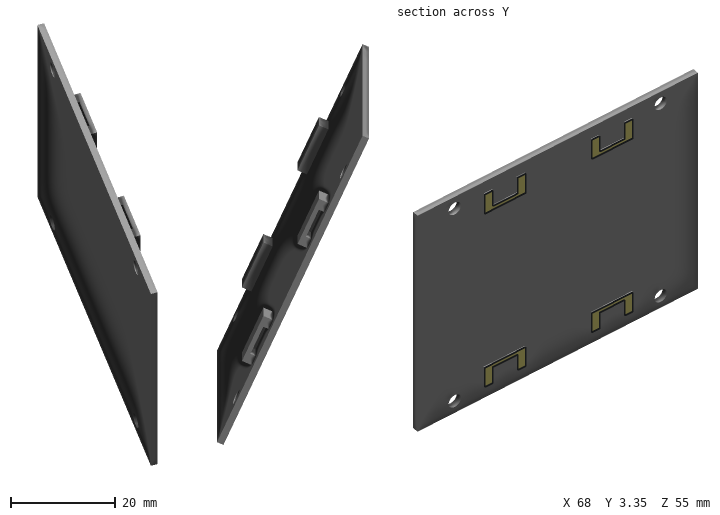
import cadquery as cq

plate_length = 68.0
plate_height = 55.0
plate_thickness = 1.35

hole_diameter = 3.0
hole_left_inset = 9.0
hole_spacing = 50.0
hole_edge_inset = 3.0

block_length = 10.0
block_depth = 2.0
block_height = 5.0
block_left_inset = 16.0
block_spacing = 26.0
block_edge_inset = 2.9

opening_length = 6.0
opening_depth = 1.1
opening_reach = 4.0


def box_at(x, y, z, length, depth, height):
    """Box whose lowest corner is at (x, y, z)."""
    return cq.Workplane("XY").box(length, depth, height, centered=False).translate((x, y, z))


def hole_cutter(x, z):
    """Cylinder along Y that passes through the plate."""
    axis = cq.Vector(0, 1, 0)
    start = cq.Vector(x, 0, z)
    return cq.Workplane(cq.Solid.makeCylinder(hole_diameter / 2, plate_thickness, start, axis))


def upper_socket(x):
    """Block near the top edge, with its opening facing up and resting on the plate."""
    block_top = plate_height - block_edge_inset
    block = box_at(x, plate_thickness, block_top - block_height, block_length, block_depth, block_height)
    opening_x = x + (block_length - opening_length) / 2
    opening_z = block_top - opening_reach
    opening = box_at(opening_x, plate_thickness, opening_z, opening_length, opening_depth, opening_reach)
    return block.cut(opening)


result = box_at(0, 0, 0, plate_length, plate_thickness, plate_height)

for hole_x in (hole_left_inset, hole_left_inset + hole_spacing):
    for hole_z in (hole_edge_inset, plate_height - hole_edge_inset):
        result = result.cut(hole_cutter(hole_x, hole_z))

for block_x in (block_left_inset, block_left_inset + block_spacing):
    socket = upper_socket(block_x)
    lower_socket = socket.mirror("XY", (0, 0, plate_height / 2))
    result = result.union(socket).union(lower_socket)